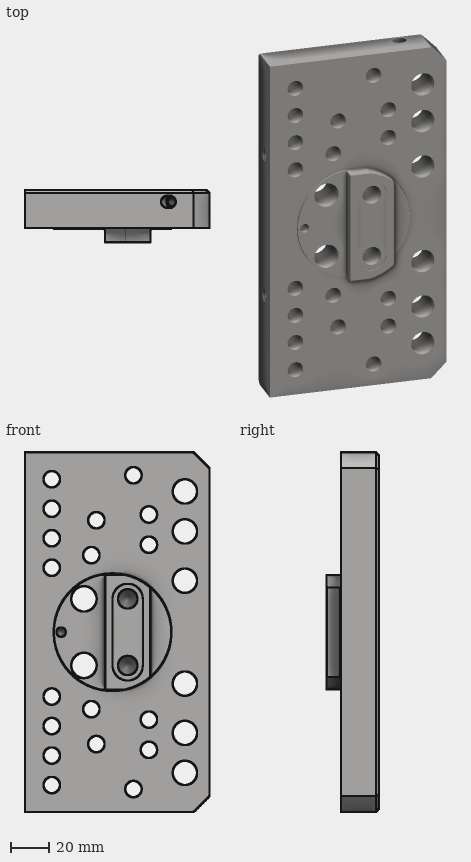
import cadquery as cq
import math

PLATE_WIDTH = 97.0
PLATE_HEIGHT = 189.0
PLATE_THICKNESS = 20.0
CORNER_CUT = 8.3
BACK_CHAMFER = 1.7

INSERT_X = -2.5
RECESS_RADIUS = 31.0
RECESS_DEPTH = 13.2

TOTAL_DEPTH = 27.5
DISC_RADIUS = 30.8
FLAT_DISTANCE = 60.1
DISC_PROUD = 0.5
BAR_X = 5.5
BAR_WIDTH = 24.0
BAR_CHAMFER = 0.4
BAR_ROOT_FILLET = 0.4

PAIR_PITCH = 35.0
PAIR_X = -PAIR_PITCH / 2
PAIR_DIAMETER = 13.2
BLIND_DIAMETER = 10.2
BLIND_DEPTH = 16.0

DOWEL_X = -29.5
DOWEL_DIAMETER = 5.0
DOWEL_DEPTH = 9.5

POCKET_WIDTH = 15.9
POCKET_DEPTH = 0.5

SMALL_DIAMETER = 8.5
COLUMN_X = -34.4
COLUMN_FIRST_Z = 33.8
COLUMN_PITCH = 15.5
COLUMN_COUNT = 4
SCATTERED_HOLES = [(8.5, 82.4), (16.6, 61.8), (16.6, 46.0), (-11.0, 58.8), (-13.6, 40.5)]
LARGE_DIAMETER = 12.7
LARGE_X = 35.5
LARGE_HOLES_Z = [27.0, 53.0, 73.9]

SIDE_HOLE_Z = 40.0
SIDE_DIAMETER = 5.0
SIDE_MOUTH = 7.0
SIDE_DEPTH = 7.5

SLANT_X = 26.8
SLANT_FROM_BACK = 6.2
SLANT_MOUTH_DIAMETER = 6.6
SLANT_MOUTH_DEPTH = 3.8
SLANT_DIAMETER = 4.7
SLANT_DEPTH = 17.0
SLANT_ANGLE = math.radians(30)

DRILL_POINT_HALF_ANGLE = math.radians(59)

FRONT = 0.0
BACK = FRONT + PLATE_THICKNESS
RECESS_FLOOR = FRONT + RECESS_DEPTH
DISC_FACE = FRONT - DISC_PROUD
BAR_FACE = BACK - TOTAL_DEPTH

INWARD = (0, 1, 0)
PAIR_ZS = (-PAIR_PITCH / 2, PAIR_PITCH / 2)


def rod(x, z, diameter, start, end):
    """Cylinder along Y between two depths."""
    base = cq.Plane((x, start, z), normal=INWARD)
    return cq.Workplane(base).circle(diameter / 2).extrude(end - start)


def drill(diameter, depth, origin, direction):
    """Drill with a conical point that enters at the origin."""
    radius = diameter / 2
    tip = depth + radius / math.tan(DRILL_POINT_HALF_ANGLE)
    profile = [(0, 0), (radius, 0), (radius, depth), (0, tip)]
    tool = cq.Workplane("XY").polyline(profile).close().revolve(360, (0, 0), (0, 1))
    tool = tool.rotate((0, 0, 0), (1, 0, 0), 90)
    return cq.Workplane(tool.val().located(cq.Location(cq.Plane(origin, normal=direction))))


def countersink(mouth, origin, direction):
    """90 degree cone that is `mouth` wide at the surface."""
    axis = cq.Vector(*direction)
    return cq.Workplane(cq.Solid.makeCone(mouth / 2, 0, mouth / 2, cq.Vector(*origin), axis))


def make_plate_blank():
    blank = (
        cq.Workplane("XY")
        .box(PLATE_WIDTH, PLATE_THICKNESS, PLATE_HEIGHT, centered=(True, False, True))
        .edges("|Y and >X")
        .chamfer(CORNER_CUT)
    )
    return blank.faces(">Y").edges("not <X").chamfer(BACK_CHAMFER)


def drill_through_holes(plate):
    column = [(COLUMN_X, COLUMN_FIRST_Z + i * COLUMN_PITCH) for i in range(COLUMN_COUNT)]
    holes = [(x, z, SMALL_DIAMETER) for x, z in column + SCATTERED_HOLES]
    holes += [(LARGE_X, z, LARGE_DIAMETER) for z in LARGE_HOLES_Z]
    for x, z, diameter in holes:
        for side in (-1, 1):
            plate = plate.cut(rod(x, side * z, diameter, FRONT, BACK))
    for z in PAIR_ZS:
        plate = plate.cut(rod(PAIR_X, z, PAIR_DIAMETER, FRONT, BACK))
    return plate


def slanted_mouth(origin, direction):
    """Flat-bottomed counterbore that starts well outside the sloping entry."""
    plane = cq.Plane(origin, normal=direction)
    bore = cq.Workplane(plane).workplane(offset=-SLANT_MOUTH_DIAMETER).circle(SLANT_MOUTH_DIAMETER / 2)
    return bore.extrude(SLANT_MOUTH_DIAMETER + SLANT_MOUTH_DEPTH)


def drill_edge_holes(plate):
    for side in (-1, 1):
        origin = (-PLATE_WIDTH / 2, PLATE_THICKNESS / 2, side * SIDE_HOLE_Z)
        plate = plate.cut(drill(SIDE_DIAMETER, SIDE_DEPTH, origin, (1, 0, 0)))
        plate = plate.cut(countersink(SIDE_MOUTH, origin, (1, 0, 0)))
    origin = (SLANT_X, BACK - SLANT_FROM_BACK, PLATE_HEIGHT / 2)
    direction = (math.sin(SLANT_ANGLE), 0, -math.cos(SLANT_ANGLE))
    plate = plate.cut(drill(SLANT_DIAMETER, SLANT_DEPTH, origin, direction))
    return plate.cut(slanted_mouth(origin, direction))


def make_plate():
    plate = make_plate_blank()
    plate = plate.cut(rod(INSERT_X, 0, 2 * RECESS_RADIUS, FRONT, RECESS_FLOOR))
    plate = drill_through_holes(plate)
    return drill_edge_holes(plate)


def round_bar_root(blank):
    """Fillet the two long inner corners between the bar and the disc face."""
    reach = BAR_WIDTH / 2 + BAR_ROOT_FILLET
    around_root = cq.selectors.BoxSelector(
        (BAR_X - reach, DISC_FACE - BAR_ROOT_FILLET, -BAR_ROOT_FILLET),
        (BAR_X + reach, DISC_FACE + BAR_ROOT_FILLET, BAR_ROOT_FILLET),
    )
    return blank.edges("|Z").edges(around_root).fillet(BAR_ROOT_FILLET)


def make_insert_blank():
    base = (
        cq.Workplane("XY")
        .box(2 * DISC_RADIUS, RECESS_FLOOR - DISC_FACE, FLAT_DISTANCE, centered=(True, False, True))
        .translate((INSERT_X, DISC_FACE, 0))
    )
    bar = (
        cq.Workplane("XY")
        .box(BAR_WIDTH, DISC_FACE - BAR_FACE, FLAT_DISTANCE, centered=(True, False, True))
        .translate((BAR_X, BAR_FACE, 0))
        .faces("<Y")
        .edges("|Z")
        .chamfer(BAR_CHAMFER)
    )
    outline = rod(INSERT_X, 0, 2 * DISC_RADIUS, BAR_FACE, RECESS_FLOOR)
    return round_bar_root(base.union(bar)).intersect(outline)


def make_insert():
    insert = make_insert_blank()
    pocket = (
        cq.Workplane("XZ", origin=(BAR_X, BAR_FACE, 0))
        .slot2D(PAIR_PITCH + POCKET_WIDTH, POCKET_WIDTH, 90)
        .extrude(-POCKET_DEPTH)
    )
    insert = insert.cut(pocket)
    for z in PAIR_ZS:
        insert = insert.cut(rod(PAIR_X, z, PAIR_DIAMETER, DISC_FACE, RECESS_FLOOR))
        insert = insert.cut(drill(BLIND_DIAMETER, BLIND_DEPTH, (BAR_X, BAR_FACE, z), INWARD))
    return insert.cut(drill(DOWEL_DIAMETER, DOWEL_DEPTH, (DOWEL_X, DISC_FACE, 0), INWARD))


plate = make_plate()
insert = make_insert()
result = cq.Compound.makeCompound([plate.val(), insert.val()])